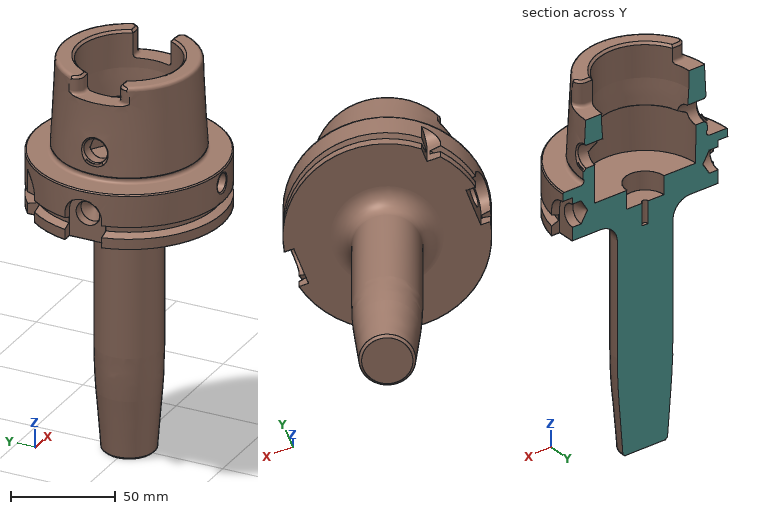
import cadquery as cq
import math

TAPER_LENGTH = 50.0
FLANGE_THICKNESS = 29.0
OVERALL_LENGTH = 210.0
TOP_Z = TAPER_LENGTH
TIP_Z = TOP_Z - OVERALL_LENGTH

TAPER_BASE_RADIUS = 38.0
TAPER_SLOPE = 1 / 20
RIM_FILLET = 2.0
RELIEF_HEIGHT = 3.1
RELIEF_DEPTH = 0.6
RELIEF_FILLET = 1.9

FLANGE_RADIUS = 50.0
FLANGE_CHAMFER = 0.6
GROOVE_RADIUS = 45.8
GROOVE_CENTER_Z = -20.4
GROOVE_HALF_MOUTH = 3.1
GROOVE_HALF_FLOOR = 1.5

SHANK_RADIUS = 17.0
NECK_FILLET = 10.0
NOSE_ANGLE = math.radians(4.5)
BLEND_LENGTH = 23.5
BLEND_START_Z = -104.1
TIP_CHAMFER = 1.3

BORE_RADIUS = 26.2
BORE_CHAMFER = 1.3
BORE_CYLINDER_END_Z = 30.2
LIP_RADIUS = 25.2
LIP_Z = 15.7
RECESS_RADIUS = 30.5
RECESS_ANGLE = math.radians(60)
BORE_FLOOR_Z = -12.5
COUPLING_RADIUS = 11.1
COUPLING_DEPTH = 10.5
COOLANT_RADIUS = 1.7
COOLANT_DEPTH = 12.5

SLOT_HALF_WIDTH = 10.0
SHALLOW_SLOT_DEPTH = 9.7
DEEP_SLOT_DEPTH = 14.5
SLOT_CORNER_RADIUS = 4.2
SLOT_FLOOR_FILLET = 1.9
SLOT_EDGE_CHAMFER = BORE_CHAMFER

CROSS_HOLE_RADIUS = 6.3
CROSS_HOLE_CHAMFER = 1.5
CROSS_HOLE_Z = 15.0

KEYWAY_RADIUS = 9.9
KEYWAY_CENTER_Z = -15.0
KEYWAY_FLOOR_X = 44.0
KEYWAY_HOLE_RADIUS = 6.3
KEYWAY_HOLE_DEPTH = 5.2
KEYWAY_HOLE_Z = KEYWAY_CENTER_Z
DRILL_POINT_HALF_ANGLE = math.radians(59)
NOTCH_CENTER_Y = 41.0
NOTCH_FLOOR_X = 32.1

CHIP_HOLE_RADIUS = 4.8
CHIP_HOLE_CHAMFER = 0.6
CHIP_DIMPLE_RADIUS = 0.2
CHIP_DIMPLE_DEPTH = 0.5
CHIP_HOLE_DEPTH = 4.5
CHIP_HOLE_Z = -7.1


def taper_radius(z):
    return TAPER_BASE_RADIUS - TAPER_SLOPE * z


def turned_body():
    blend_radius = BLEND_LENGTH / math.sin(NOSE_ANGLE)

    def blend_point(angle):
        return (
            SHANK_RADIUS - blend_radius * (1 - math.cos(angle)),
            BLEND_START_Z - blend_radius * math.sin(angle),
        )

    blend_end = blend_point(NOSE_ANGLE)
    tip_radius = blend_end[0] - (blend_end[1] - TIP_Z) * math.tan(NOSE_ANGLE)
    flange_bottom = -FLANGE_THICKNESS
    rim_radius = taper_radius(TOP_Z - RIM_FILLET)
    relief_radius = taper_radius(RELIEF_HEIGHT) - RELIEF_DEPTH
    return (
        cq.Workplane("XZ")
        .moveTo(0, TOP_Z)
        .lineTo(rim_radius - RIM_FILLET, TOP_Z)
        .tangentArcPoint((rim_radius, TOP_Z - RIM_FILLET), relative=False)
        .lineTo(taper_radius(RELIEF_HEIGHT), RELIEF_HEIGHT)
        .lineTo(relief_radius, RELIEF_HEIGHT - RELIEF_DEPTH)
        .lineTo(relief_radius, RELIEF_FILLET)
        .tangentArcPoint((relief_radius + RELIEF_FILLET, 0), relative=False)
        .lineTo(FLANGE_RADIUS - FLANGE_CHAMFER, 0)
        .lineTo(FLANGE_RADIUS, -FLANGE_CHAMFER)
        .lineTo(FLANGE_RADIUS, GROOVE_CENTER_Z + GROOVE_HALF_MOUTH)
        .lineTo(GROOVE_RADIUS, GROOVE_CENTER_Z + GROOVE_HALF_FLOOR)
        .lineTo(GROOVE_RADIUS, GROOVE_CENTER_Z - GROOVE_HALF_FLOOR)
        .lineTo(FLANGE_RADIUS, GROOVE_CENTER_Z - GROOVE_HALF_MOUTH)
        .lineTo(FLANGE_RADIUS, flange_bottom)
        .lineTo(SHANK_RADIUS + NECK_FILLET, flange_bottom)
        .tangentArcPoint((SHANK_RADIUS, flange_bottom - NECK_FILLET), relative=False)
        .lineTo(SHANK_RADIUS, BLEND_START_Z)
        .threePointArc(blend_point(NOSE_ANGLE / 2), blend_end)
        .lineTo(tip_radius + TIP_CHAMFER * math.tan(NOSE_ANGLE), TIP_Z + TIP_CHAMFER)
        .lineTo(tip_radius - TIP_CHAMFER, TIP_Z)
        .lineTo(0, TIP_Z)
        .close()
        .revolve(360, (0, 0), (0, 1))
    )


def bore():
    recess_z = LIP_Z - (RECESS_RADIUS - LIP_RADIUS) / math.tan(RECESS_ANGLE)
    coupling_floor = BORE_FLOOR_Z - COUPLING_DEPTH
    coolant_floor = coupling_floor - COOLANT_DEPTH
    return (
        cq.Workplane("XZ")
        .moveTo(0, TOP_Z)
        .lineTo(BORE_RADIUS + BORE_CHAMFER, TOP_Z)
        .lineTo(BORE_RADIUS, TOP_Z - BORE_CHAMFER)
        .lineTo(BORE_RADIUS, BORE_CYLINDER_END_Z)
        .lineTo(LIP_RADIUS, LIP_Z)
        .lineTo(RECESS_RADIUS, recess_z)
        .lineTo(RECESS_RADIUS, BORE_FLOOR_Z)
        .lineTo(COUPLING_RADIUS, BORE_FLOOR_Z)
        .lineTo(COUPLING_RADIUS, coupling_floor)
        .lineTo(COOLANT_RADIUS, coupling_floor)
        .lineTo(COOLANT_RADIUS, coolant_floor)
        .lineTo(0, coolant_floor)
        .close()
        .revolve(360, (0, 0), (0, 1))
    )


def drive_slot(side, depth):
    """Slot across the rim on one side of X, its walls rounded into the outer surface."""
    outer = TAPER_BASE_RADIUS + SLOT_FLOOR_FILLET
    floor_z = TOP_Z - depth
    mouth_half_width = SLOT_HALF_WIDTH + SLOT_CORNER_RADIUS
    rim = taper_radius(TOP_Z - depth / 2)
    center_x = math.sqrt((rim - SLOT_CORNER_RADIUS) ** 2 - mouth_half_width ** 2)
    touch = rim / (rim - SLOT_CORNER_RADIUS)
    touch_x, touch_y = center_x * touch, mouth_half_width * touch
    mid_angle = (math.atan2(touch_y - mouth_half_width, touch_x - center_x) - math.pi / 2) / 2
    mid_x = center_x + SLOT_CORNER_RADIUS * math.cos(mid_angle)
    mid_y = mouth_half_width + SLOT_CORNER_RADIUS * math.sin(mid_angle)

    def outline(z):
        return (
            cq.Workplane("XY", origin=(0, 0, z))
            .moveTo(0, -SLOT_HALF_WIDTH)
            .lineTo(side * center_x, -SLOT_HALF_WIDTH)
            .threePointArc((side * mid_x, -mid_y), (side * touch_x, -touch_y))
            .lineTo(side * outer, -touch_y)
            .lineTo(side * outer, touch_y)
            .lineTo(side * touch_x, touch_y)
            .threePointArc((side * mid_x, mid_y), (side * center_x, SLOT_HALF_WIDTH))
            .lineTo(0, SLOT_HALF_WIDTH)
            .close()
        )

    slot = outline(floor_z).extrude(depth).faces("<Z").edges().fillet(SLOT_FLOOR_FILLET)
    edge_chamfer = outline(TOP_Z - SLOT_EDGE_CHAMFER).extrude(SLOT_EDGE_CHAMFER, taper=-45)
    return slot.union(edge_chamfer)


def arched_keyway(side, center_y, floor_x):
    """Cutter for a keyway with an arched top, open towards the shank, ending on a flat floor."""
    bottom = -FLANGE_THICKNESS
    return (
        cq.Workplane("YZ", origin=(side * floor_x, 0, 0))
        .moveTo(center_y - KEYWAY_RADIUS, bottom)
        .lineTo(center_y - KEYWAY_RADIUS, KEYWAY_CENTER_Z)
        .threePointArc(
            (center_y, KEYWAY_CENTER_Z + KEYWAY_RADIUS),
            (center_y + KEYWAY_RADIUS, KEYWAY_CENTER_Z),
        )
        .lineTo(center_y + KEYWAY_RADIUS, bottom)
        .close()
        .extrude(side * (FLANGE_RADIUS - floor_x))
    )


def cone(radius, height, base, direction):
    """Cone with its base centre and the direction towards its tip."""
    return cq.Workplane(cq.Solid.makeCone(radius, 0, height, cq.Vector(base), cq.Vector(direction)))


def cross_hole():
    """Hole through both taper walls, countersunk from outside."""
    hole = (
        cq.Workplane("YZ", origin=(-TAPER_BASE_RADIUS, 0, CROSS_HOLE_Z))
        .circle(CROSS_HOLE_RADIUS)
        .extrude(2 * TAPER_BASE_RADIUS)
    )
    surface_x = taper_radius(CROSS_HOLE_Z)
    sink_radius = CROSS_HOLE_RADIUS + CROSS_HOLE_CHAMFER
    for side in (-1, 1):
        hole = hole.union(cone(sink_radius, sink_radius, (side * surface_x, 0, CROSS_HOLE_Z), (-side, 0, 0)))
    return hole


def keyway_hole(side):
    """Short drilled hole with a conical bottom in the floor of a drive keyway."""
    point_length = KEYWAY_HOLE_RADIUS / math.tan(DRILL_POINT_HALF_ANGLE)
    bottom_x = side * (KEYWAY_FLOOR_X - KEYWAY_HOLE_DEPTH)
    hole = (
        cq.Workplane("YZ", origin=(bottom_x, 0, KEYWAY_HOLE_Z))
        .circle(KEYWAY_HOLE_RADIUS)
        .extrude(side * KEYWAY_HOLE_DEPTH)
    )
    return hole.union(cone(KEYWAY_HOLE_RADIUS, point_length, (bottom_x, 0, KEYWAY_HOLE_Z), (-side, 0, 0)))


def chip_hole():
    """Flat-bottomed, chamfered hole with a small centre dimple."""
    hole = cq.Workplane("XZ", origin=(0, -FLANGE_RADIUS, CHIP_HOLE_Z))
    mouth_radius = CHIP_HOLE_RADIUS + CHIP_HOLE_CHAMFER
    mouth = cone(mouth_radius, mouth_radius, (0, -FLANGE_RADIUS, CHIP_HOLE_Z), (0, 1, 0))
    dimple = hole.circle(CHIP_DIMPLE_RADIUS).extrude(-CHIP_HOLE_DEPTH - CHIP_DIMPLE_DEPTH)
    return hole.circle(CHIP_HOLE_RADIUS).extrude(-CHIP_HOLE_DEPTH).union(dimple).union(mouth)


result = turned_body().cut(bore())
result = result.cut(drive_slot(-1, SHALLOW_SLOT_DEPTH)).cut(drive_slot(1, DEEP_SLOT_DEPTH))
result = result.cut(cross_hole())
for side in (-1, 1):
    result = result.cut(arched_keyway(side, 0, KEYWAY_FLOOR_X)).cut(keyway_hole(side))
result = result.cut(arched_keyway(-1, NOTCH_CENTER_Y, NOTCH_FLOOR_X))
result = result.cut(chip_hole())